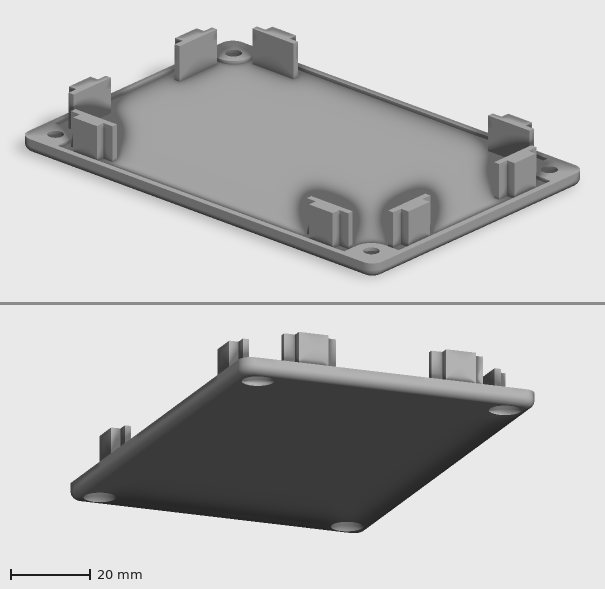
import cadquery as cq

length = 120.0
width = 80.0
total_height = 13.0
plate_thickness = 4.1
corner_radius = 3.5
bottom_edge_radius = 2.0

rim_width = 1.7
recess_depth = 1.0
floor_height = plate_thickness - recess_depth

pad_reach = 11.4
pad_radius = 5.0

hole_diameter = 4.2
hole_inset = 6.5
counterbore_diameter = 8.2
counterbore_ceiling = 1.0
counterbore_depth = plate_thickness - counterbore_ceiling

clip_inset = 2.5
clip_end_distance = 20.0
stem_width = 8.0
stem_depth = 2.5
flange_width = 14.0
flange_depth = 1.7
clip_height = total_height - floor_height


def make_plate():
    plate = cq.Workplane("XY").box(length, width, plate_thickness, centered=(True, True, False))
    plate = plate.edges("|Z").fillet(corner_radius)
    return plate.faces("<Z").edges().fillet(bottom_edge_radius)


def make_recess():
    """Rectangular recess whose corners are left standing as rounded pads."""
    recess = (
        cq.Workplane("XY")
        .workplane(offset=floor_height)
        .rect(length - 2 * rim_width, width - 2 * rim_width)
        .extrude(recess_depth)
    )
    pads = (
        cq.Workplane("XY")
        .workplane(offset=floor_height)
        .rect(length - pad_reach, width - pad_reach, forConstruction=True)
        .vertices()
        .rect(pad_reach, pad_reach)
        .extrude(recess_depth)
    )
    inside_recess = cq.selectors.BoxSelector(
        (-length / 2 + rim_width, -width / 2 + rim_width, 0),
        (length / 2 - rim_width, width / 2 - rim_width, total_height),
    )
    pads = pads.edges("|Z").edges(inside_recess).fillet(pad_radius)
    return recess.cut(pads)


def corner_cylinders(diameter, height):
    """Four upright cylinders on the screw axes, rising from the underside."""
    return (
        cq.Workplane("XY")
        .rect(length - 2 * hole_inset, width - 2 * hole_inset, forConstruction=True)
        .vertices()
        .circle(diameter / 2)
        .extrude(height)
    )


def make_clip():
    """Clip with its stem's outer face on the XZ plane and its flange towards +Y."""
    stem = cq.Workplane("XY").box(stem_width, stem_depth, clip_height, centered=(True, False, False))
    flange = (
        cq.Workplane("XY")
        .box(flange_width, flange_depth, clip_height, centered=(True, False, False))
        .translate((0, stem_depth, 0))
    )
    return stem.union(flange).translate((0, 0, floor_height))


result = make_plate().cut(make_recess())
result = result.cut(corner_cylinders(hole_diameter, plate_thickness))
result = result.cut(corner_cylinders(counterbore_diameter, counterbore_depth))

clip = make_clip()
for quarter_turn in range(4):
    along, across = (length, width) if quarter_turn % 2 == 0 else (width, length)
    for side in (-1, 1):
        placed_clip = clip.translate((side * (along / 2 - clip_end_distance), clip_inset - across / 2, 0))
        result = result.union(placed_clip.rotate((0, 0, 0), (0, 0, 1), 90 * quarter_turn))